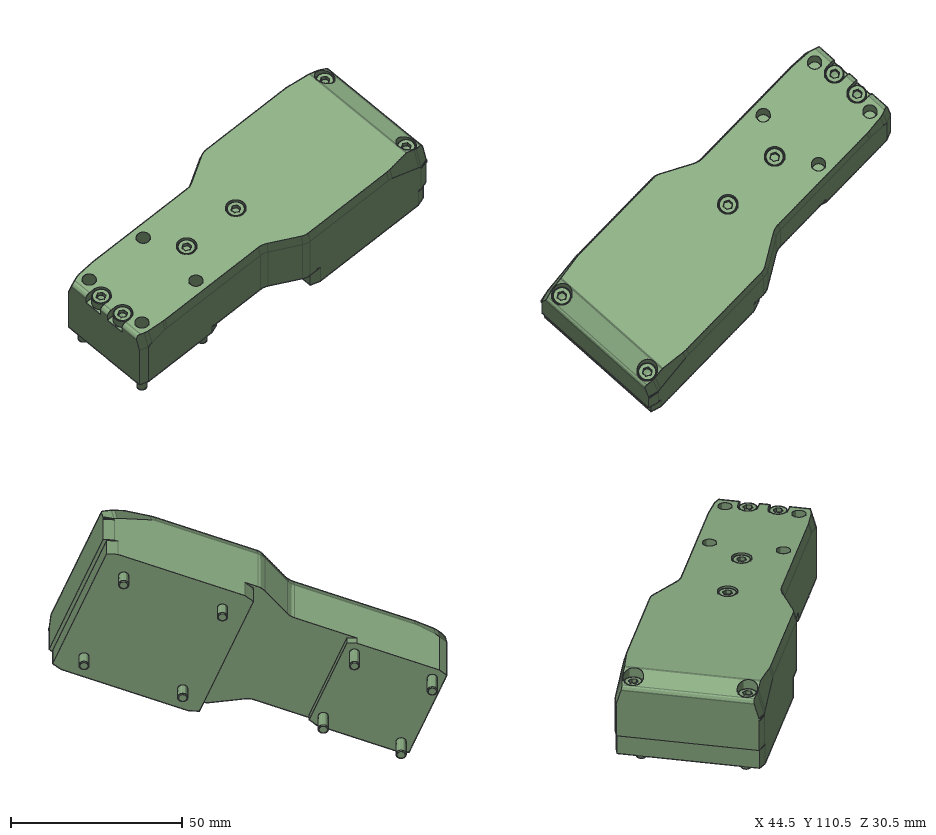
import cadquery as cq
import math


length = 110.5
wide_half = 44.5 / 2
narrow_half = 31.7 / 2
housing_height = 19.4
shoulder_front_y = 49.6
shoulder_rear_y = 61.0
shoulder_radius = 5.0

corner_inset = 1.0
front_corner_run = 2.75
rear_corner_run = 3.1

draft_angle = 16.7
draft_height = 3.0
front_tilt_y = (3.3, 9.8)
front_draft_height = 5.4
rear_tilt_y = (95.0, 107.0)
rear_draft_height = 8.7
tilt_radius = 11.0
tilt_corner_radius = 5.5
draft_overrun = 4.0

corner_strip_height = 0.6
corner_strip_inset = 0.6

end_edge_radius = 1.5
slope_edge_radius = 0.8
rear_slope_start_y = 103.45
rear_slope_angle = 23.5

front_foot_rear_y = 31.4
front_foot_bottom = -22.0
rear_foot_y = (63.3, 109.4)
rear_foot_bottom = -26.0

pin_diameter = 3.0
pin_chamfer = 0.3
front_pin_half_pitch = 12.25
front_pin_y = (3.55, 28.0)
front_pin_end = -28.5
rear_pin_half_pitch = 15.6
rear_pin_y = (70.8, 101.8)
rear_pin_end = -30.5

blind_diameter = 4.13
blind_depth = 6.0
blind_half_pitch = 11.0
blind_y = (4.75, 26.75)

head_diameter = 5.5
head_height = 3.0
head_chamfer = 0.25
flush_head_top = -0.4
hex_flats = 2.5
hex_depth = 1.3
hex_cone_depth = 0.7
bore_diameter = 6.0
bore_overrun = 1.0
front_screw_x = 4.5
front_screw_y = 3.2
rear_screw_x = 17.0
rear_screw_y = 106.5
rear_head_top = -2.8
middle_screw_y = (33.7, 53.7)

shoulder_angle = math.atan2(wide_half - narrow_half, shoulder_rear_y - shoulder_front_y)


def mirrored_outline(right_corners):
    """Closed symmetric outline from its +X corners (x, y, radius), listed from front to rear."""
    left_corners = [(-x, y, radius) for x, y, radius in reversed(right_corners)]
    corners = right_corners + left_corners
    start_x, start_y, _ = corners[0]
    outline = cq.Workplane("XY").moveTo(start_x, start_y)
    for index in range(1, len(corners)):
        x, y, radius = corners[index]
        corner = cq.Vector(x, y)
        if radius == 0:
            outline = outline.lineTo(x, y)
            continue
        back = (cq.Vector(*corners[index - 1][:2]) - corner).normalized()
        ahead = (cq.Vector(*corners[index + 1][:2]) - corner).normalized()
        half_corner = back.getAngle(ahead) / 2
        tangent_length = radius / math.tan(half_corner)
        arc_start = corner + back * tangent_length
        arc_end = corner + ahead * tangent_length
        bisector = (back + ahead).normalized()
        arc_middle = corner + bisector * (radius / math.sin(half_corner) - radius)
        outline = outline.lineTo(arc_start.x, arc_start.y)
        outline = outline.threePointArc((arc_middle.x, arc_middle.y), (arc_end.x, arc_end.y))
    return outline.close()


def straight_block(top):
    """Vertical-walled housing up to the given height, with chamfered corners and rounded shoulders."""
    return mirrored_outline([
        (narrow_half - corner_inset, 0, 0),
        (narrow_half, front_corner_run, 0),
        (narrow_half, shoulder_front_y, shoulder_radius),
        (wide_half, shoulder_rear_y, shoulder_radius),
        (wide_half, length - rear_corner_run, 0),
        (wide_half - corner_inset, length, 0),
    ]).extrude(housing_height + top).translate((0, 0, -housing_height))


def drafted_outline(height):
    """Level section of the drafted block, at a height above the foot of the side draft."""
    slope = math.tan(math.radians(draft_angle))
    inset = height * slope
    narrow = narrow_half - inset
    wide = wide_half - inset
    shift = inset * math.tan(shoulder_angle / 2)

    front_end, front_break = front_tilt_y
    front_lean = corner_inset / front_corner_run
    front_foot_x = narrow_half + (front_end - front_corner_run) * front_lean
    front_x = front_foot_x - (front_draft_height - draft_height) * slope - inset
    front_tip_x = front_x - (front_end + draft_overrun) * front_lean

    rear_break, rear_end = rear_tilt_y
    rear_lean = corner_inset / rear_corner_run
    rear_foot_x = wide_half + (length - rear_corner_run - rear_end) * rear_lean
    rear_x = rear_foot_x - (rear_draft_height - draft_height) * slope - inset
    rear_tip_y = length + draft_overrun
    rear_tip_x = rear_x - (rear_tip_y - rear_end) * rear_lean

    return mirrored_outline([
        (front_tip_x, -draft_overrun, 0),
        (front_x, front_end, tilt_corner_radius),
        (narrow, front_break, tilt_radius),
        (narrow, shoulder_front_y + shift, shoulder_radius + inset),
        (wide, shoulder_rear_y + shift, shoulder_radius - inset),
        (wide, rear_break, tilt_radius),
        (rear_x, rear_end, tilt_corner_radius),
        (rear_tip_x, rear_tip_y, 0),
    ])


def drafted_block():
    """Block whose walls spread downward and which trims the upper side edges of the housing."""
    bottom = drafted_outline(draft_height - rear_draft_height).wire().val()
    top = drafted_outline(draft_height).wire().val()
    bottom = bottom.translate(cq.Vector(0, 0, -rear_draft_height))
    return cq.Workplane(cq.Solid.makeLoft([bottom, top], ruled=True))


def end_profile():
    """Side profile of the housing, with rounded front edge and sloped, rounded rear edge."""
    slope_drop = (length - rear_slope_start_y) * math.tan(math.radians(rear_slope_angle))
    profile = (
        cq.Workplane("YZ")
        .polyline([
            (0, -housing_height),
            (0, 0),
            (rear_slope_start_y, 0),
            (length, -slope_drop),
            (length, -housing_height),
        ])
        .close()
        .extrude(wide_half, both=True)
    )
    slope_edge = cq.selectors.NearestToPointSelector((0, rear_slope_start_y, 0))
    profile = profile.edges(slope_edge).fillet(slope_edge_radius)
    rear_edge = cq.selectors.NearestToPointSelector((0, length, -slope_drop))
    profile = profile.edges(rear_edge).fillet(end_edge_radius)
    front_edge = cq.selectors.NearestToPointSelector((0, 0, 0))
    return profile.edges(front_edge).fillet(end_edge_radius)


def corner_strip(side):
    """Sliver that makes one rear corner chamfer shallower over the height of the band."""
    outer = side * wide_half
    return (
        cq.Workplane("XY", origin=(0, 0, -rear_draft_height))
        .polyline([
            (outer, length - rear_corner_run),
            (outer - side * corner_strip_inset, length),
            (outer - side * corner_inset, length),
        ])
        .close()
        .extrude(-corner_strip_height)
    )


def housing():
    lower = straight_block(-rear_draft_height)
    upper = straight_block(0).intersect(drafted_block())
    trimmed = upper.union(lower).intersect(end_profile())
    return trimmed.union(corner_strip(-1)).union(corner_strip(1))


def front_foot():
    return mirrored_outline([
        (narrow_half - corner_inset, 0, 0),
        (narrow_half, front_corner_run, 0),
        (narrow_half, front_foot_rear_y - front_corner_run, 0),
        (narrow_half - corner_inset, front_foot_rear_y, 0),
    ]).extrude(front_foot_bottom + housing_height).translate((0, 0, -housing_height))


def rear_foot():
    front_y, rear_y = rear_foot_y
    return mirrored_outline([
        (wide_half - corner_inset, front_y, 0),
        (wide_half, front_y + rear_corner_run, 0),
        (wide_half, rear_y - rear_corner_run, 0),
        (wide_half - corner_inset, rear_y, 0),
    ]).extrude(rear_foot_bottom + housing_height).translate((0, 0, -housing_height))


def pins(half_pitch, stations, foot_bottom, pin_end):
    points = [(side * half_pitch, y) for side in (-1, 1) for y in stations]
    shafts = cq.Workplane("XY", origin=(0, 0, foot_bottom)).pushPoints(points)
    return shafts.circle(pin_diameter / 2).extrude(pin_end - foot_bottom).faces("<Z").chamfer(pin_chamfer)


def counterbore(x, y, head_top):
    """Bore from above the top face down to the seat of a screw head."""
    seat = head_top - head_height
    return cq.Workplane("XY", origin=(x, y, seat)).circle(bore_diameter / 2).extrude(bore_overrun - seat)


def front_slot(x):
    """Straight walls that open a front counterbore through the front face."""
    seat = flush_head_top - head_height
    return (
        cq.Workplane("XY", origin=(x, 0, seat))
        .rect(bore_diameter, 2 * front_screw_y)
        .extrude(bore_overrun - seat)
    )


def screw_head(x, y, head_top, cone_bottom):
    """Cylindrical head with a hexagon socket, optionally ending in a drilled cone."""
    across_corners = hex_flats / math.cos(math.pi / 6)
    head = cq.Workplane("XY", origin=(x, y, head_top)).circle(head_diameter / 2).extrude(-head_height)
    head = head.faces(">Z").chamfer(head_chamfer)
    socket = cq.Workplane("XY", origin=(x, y, head_top)).polygon(6, across_corners).extrude(-hex_depth)
    head = head.cut(socket)
    if cone_bottom:
        cone = cq.Solid.makeCone(
            hex_flats / 2, 0, hex_cone_depth, cq.Vector(x, y, head_top - hex_depth), cq.Vector(0, 0, -1)
        )
        head = head.cut(cq.Workplane(cone))
    return head


body = housing()
body = body.union(front_foot()).union(rear_foot())
body = body.union(pins(front_pin_half_pitch, front_pin_y, front_foot_bottom, front_pin_end))
body = body.union(pins(rear_pin_half_pitch, rear_pin_y, rear_foot_bottom, rear_pin_end))

blind_points = [(side * blind_half_pitch, y) for side in (-1, 1) for y in blind_y]
blind_holes = cq.Workplane("XY").pushPoints(blind_points).circle(blind_diameter / 2).extrude(-blind_depth)
body = body.cut(blind_holes)

for side in (-1, 1):
    front_x = side * front_screw_x
    rear_x = side * rear_screw_x
    body = body.cut(counterbore(front_x, front_screw_y, flush_head_top))
    body = body.cut(front_slot(front_x))
    body = body.union(screw_head(front_x, front_screw_y, flush_head_top, cone_bottom=True))
    body = body.cut(counterbore(rear_x, rear_screw_y, rear_head_top))
    body = body.union(screw_head(rear_x, rear_screw_y, rear_head_top, cone_bottom=True))

for screw_y in middle_screw_y:
    body = body.cut(counterbore(0, screw_y, flush_head_top))
    body = body.union(screw_head(0, screw_y, flush_head_top, cone_bottom=False))

result = body